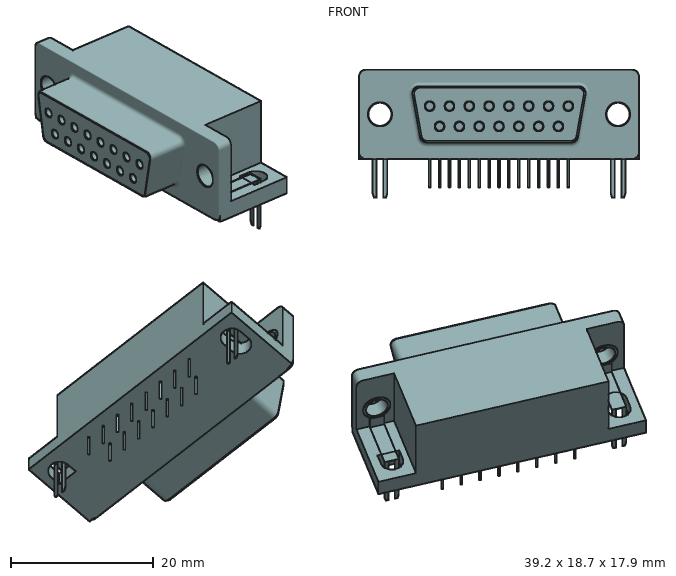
import cadquery as cq
import math


width = 39.2
height = 12.5
overall_depth = 18.74
shell_length = 6.1
rear_y = overall_depth - shell_length
plate_thickness = 0.25
plate_edge_radius = 0.15
corner_radius = 1.0
ledge_length = 10.35
flange_rear_y = rear_y - ledge_length
block_width = 28.2
ledge_height = 2.6

mount_spacing = 33.3
mount_sides = (-mount_spacing / 2, mount_spacing / 2)
mount_diameter = 3.2
mount_chamfer = 0.1
middle_z = height / 2
slot_width = 3.2
slot_rear_margin = 1.6
slot_straight = 1.6

shell_width = 24.25
shell_height = 7.9
shell_side_angle = 10.0
shell_corner_radius = 1.0
shell_root_radius = 0.6
shell_edge_radius = 0.2
root_search_margin = 0.5
insert_inset = 0.25
insert_protrusion = 0.15

contact_pitch = 2.77
row_spacing = 2.84
upper_count = 8
lower_count = upper_count - 1
upper_row_z = 7.4
contact_diameter = 1.2
contact_chamfer = 0.1
contact_depth = 6.0

pin_diameter = 0.3
pin_tip_radius = 0.14
pin_length = 4.0
pin_rear_margin = 1.82
rear_pin_y = rear_y - pin_rear_margin
pin_embed = 1.0

sheet = 0.1
tab_thickness = 0.3
tab_top = 4.5
strap_width = 2.1
washer_diameter = 4.0
prong_gap = 0.9
prong_length = 5.4
prong_taper_length = 0.6
prong_taper_width = 0.2
prong_rear_margin = 3.2
prong_rear_y = rear_y - prong_rear_margin


def box(x_range, y_range, z_range):
    """Axis-aligned box between the given limits."""
    size = [limits[1] - limits[0] for limits in (x_range, y_range, z_range)]
    corner = (x_range[0], y_range[0], z_range[0])
    return cq.Workplane("XY").box(*size, centered=False).translate(corner)


def rod(x, z, diameter, y_start, length):
    """Cylinder running rearward (+Y) from y_start."""
    axis = cq.Vector(0, 1, 0)
    return cq.Workplane(cq.Solid.makeCylinder(diameter / 2, length, cq.Vector(x, y_start, z), axis))


def countersunk_cutter(x, z, diameter, chamfer, y_start, length):
    """Hole cutter with a small 45 degree lead-in at its front end."""
    lead_in = cq.Solid.makeCone(
        diameter / 2 + chamfer, diameter / 2, chamfer, cq.Vector(x, y_start, z), cq.Vector(0, 1, 0)
    )
    return rod(x, z, diameter, y_start, length).union(cq.Workplane(lead_in))


def make_housing():
    """Contact block, low side ledges and flange with rounded upper corners."""
    half = width / 2
    flange = box((-half, half), (plate_thickness, flange_rear_y), (0, height))
    flange = flange.edges("|Y and >Z").fillet(corner_radius)
    ledges = box((-half, half), (flange_rear_y, rear_y), (0, ledge_height))
    block = box((-block_width / 2, block_width / 2), (flange_rear_y, rear_y), (0, height))
    return flange.union(ledges).union(block)


def make_plate():
    """Metal front plate with four rounded corners and a rounded front rim."""
    plate = box((-width / 2, width / 2), (0, plate_thickness), (0, height))
    return plate.edges("|Y").fillet(corner_radius).faces("<Y").edges().fillet(plate_edge_radius)


def d_prism(offset, front_y):
    """D-shaped prism from the back of the plate to front_y, grown outward by offset."""
    angle = math.radians(shell_side_angle)
    radius = shell_corner_radius + offset
    half_height = shell_height / 2 + offset
    corner_x = shell_width / 2 - shell_corner_radius
    corner_rise = shell_height / 2 - shell_corner_radius
    side_x = corner_x + radius / math.cos(angle) - corner_rise * math.tan(angle)
    slope_run = half_height * math.tan(angle)
    outline = [
        (-side_x - slope_run, middle_z + half_height),
        (side_x + slope_run, middle_z + half_height),
        (side_x - slope_run, middle_z - half_height),
        (-side_x + slope_run, middle_z - half_height),
    ]
    sketch = cq.Workplane("XZ", origin=(0, plate_thickness, 0)).polyline(outline).close()
    return sketch.extrude(plate_thickness - front_y).edges("|Y").fillet(radius)


def make_plate_and_shell():
    """Metal plate with the D-shaped shell blended onto it and the contact insert inside."""
    shell = d_prism(0, insert_protrusion - shell_length)
    shell = shell.faces("<Y").edges().fillet(shell_edge_radius)
    half_x = shell_width / 2 + root_search_margin
    half_z = shell_height / 2 + root_search_margin
    half_y = plate_edge_radius / 2
    root = cq.selectors.BoxSelector(
        (-half_x, -half_y, middle_z - half_z), (half_x, half_y, middle_z + half_z)
    )
    blended = make_plate().union(shell).edges(root).fillet(shell_root_radius)
    return blended.union(d_prism(-insert_inset, -shell_length))


def contact_positions():
    """(x, z) of every contact hole, upper row first."""
    positions = []
    for count, z in ((upper_count, upper_row_z), (lower_count, upper_row_z - row_spacing)):
        for index in range(count):
            positions.append(((index - (count - 1) / 2) * contact_pitch, z))
    return positions


def slot_cutter(x, round_front):
    """Strap slot through the ledge: round at the rear, round or square in front."""
    radius = slot_width / 2
    rear_center = rear_y - slot_rear_margin - radius
    front_center = rear_center - slot_straight
    sketch = cq.Workplane("XY").moveTo(x - radius, front_center).lineTo(x - radius, rear_center)
    sketch = sketch.threePointArc((x, rear_center + radius), (x + radius, rear_center))
    sketch = sketch.lineTo(x + radius, front_center)
    if round_front:
        sketch = sketch.threePointArc((x, front_center - radius), (x - radius, front_center))
    return sketch.close().extrude(ledge_height)


def make_pin(x, y):
    """Round solder pin with a rounded tip."""
    pin = cq.Workplane("XY", origin=(x, y, -pin_length)).circle(pin_diameter / 2)
    pin = pin.extrude(pin_length + pin_embed)
    return pin.faces("<Z").edges().fillet(pin_tip_radius)


def make_prong(x, side):
    """One flat strap prong whose outer edge narrows at the end."""
    inner = x + side * prong_gap / 2
    outer = x + side * strap_width / 2
    outline = [
        (inner, ledge_height),
        (inner, -prong_length),
        (outer - side * prong_taper_width, -prong_length),
        (outer, prong_taper_length - prong_length),
        (outer, ledge_height),
    ]
    return cq.Workplane("XZ", origin=(0, prong_rear_y, 0)).polyline(outline).close().extrude(sheet)


def make_strap(x):
    """Washer on the flange, upright tab, strip along the ledge and two prongs."""
    sides = (x - strap_width / 2, x + strap_width / 2)
    washer = rod(x, middle_z, washer_diameter, flange_rear_y, sheet)
    tab = box(sides, (flange_rear_y, flange_rear_y + tab_thickness), (ledge_height, tab_top))
    strip = box(sides, (flange_rear_y, prong_rear_y), (ledge_height, ledge_height + sheet))
    strap = washer.union(tab).union(strip)
    for side in (-1, 1):
        strap = strap.union(make_prong(x, side))
    return strap


result = make_housing().union(make_plate_and_shell())

for mount_x in mount_sides:
    result = result.cut(slot_cutter(mount_x, round_front=mount_x < 0))
    result = result.union(make_strap(mount_x))
    result = result.cut(
        countersunk_cutter(mount_x, middle_z, mount_diameter, mount_chamfer, 0, flange_rear_y + tab_thickness)
    )

for contact_x, contact_z in contact_positions():
    result = result.cut(
        countersunk_cutter(
            contact_x, contact_z, contact_diameter, contact_chamfer, -shell_length, contact_depth
        )
    )
    pin_y = rear_pin_y if contact_z == upper_row_z else rear_pin_y - row_spacing
    result = result.union(make_pin(contact_x, pin_y))